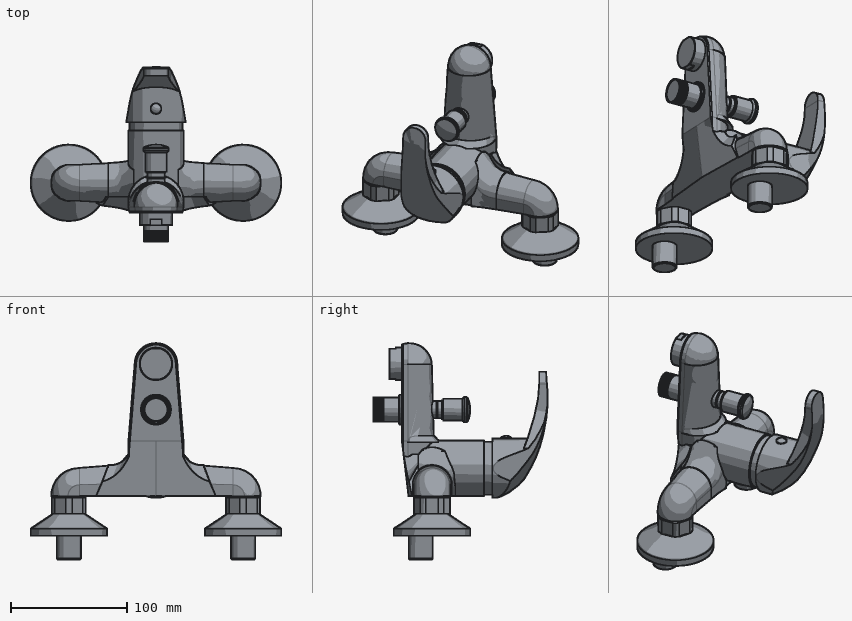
import cadquery as cq
import math


JOINT_OVERLAP = 1.0

INLET_SPACING = 150.0
COLLAR_RADIUS = 9.8
COLLAR_HEIGHT = 1.4
NUT_ACROSS_FLATS = 29.5
NUT_CORNER_DIAMETER = 31.4
NUT_BOTTOM = -15.4
ROSETTE_RADIUS = 33.0
ROSETTE_NECK_RADIUS = 14.0
ROSETTE_RIM_TOP = -28.3
ROSETTE_BOTTOM = -34.2
ROSETTE_RIM_CHAMFER = 0.8
SHANK_RADIUS = 10.5
SHANK_OFFSET_Y = -9.7
SHANK_BOTTOM = -54.7
SHANK_CHAMFER = 1.0

ARCH_RISE_TO_HALF_WIDTH = 0.92
ELBOW_X = 66.0
ARM_END_HALF_WIDTH = 15.6
ARM_END_HEIGHT = 24.3
ARM_ROOT_HALF_WIDTH = 19.3
ARM_ROOT_HEIGHT = 29.6

BARREL_RADIUS = 24.0
BARREL_START_Y = -12.0
BARREL_END_Y = 45.2
BARREL_CHAMFER = 0.6
BARREL_COLLAR_RADIUS = 22.9
BARREL_AXIS_Z = BARREL_RADIUS

FACE_Y = -26.0
SHOULDER_Y = -20.7
COLUMN_BASE_Z = 47.4
COLUMN_BASE_RADIUS = 23.8
COLUMN_TOP_RADIUS = 18.5
COLUMN_TOP_Z = 113.3
COLUMN_BACK_Y = 0.0
COLUMN_BASE_BACK_Y = 1.8
EDGE_DRAFT = 1.5
HEEL_TOP_Z = 52.0
HEEL_BOTTOM_Z = 46.5
HEEL_TOP_HALF_WIDTH = 23.3
HEEL_BACK_Y = 7.0
FACE_EDGE_BEVEL = 1.3

SLOPE_FOOT_Y = -20.3
SLOPE_FOOT_REACH = 60.0
SLOPE_FOOT_OUTER_Y = -16.8

FLARE_TOP_Z = 36.0
FLARE_HALF_WIDTH = 51.5
FLARE_TOE = 1.5
FLARE_BACK_Y = -12.0
FLARE_FRONT_MID = (31.0, 19.5)
FLARE_BACK_MID = (29.5, 29.5)
FLARE_BACK_END = (41.0, 26.5)
FLARE_STATIONS = [
    (41.0, 26.8, 17.1),
    (29.5, 29.6, 18.0),
    (COLUMN_BASE_RADIUS, FLARE_TOP_Z, 19.0),
    (19.0, 42.0, 20.0),
]

OUTLET_AXIS_Z = 74.4
OUTLET_END_Y = -50.63
OUTLET_RADIUS = 10.6
OUTLET_FLANGE_RADIUS = 13.0
OUTLET_FLANGE_FACE_Y = -28.6
OUTLET_FLANGE_CHAMFER = 1.0
THREAD_START_Y = -41.4
THREAD_PITCH = 1.0
THREAD_DEPTH = 0.8
KNOB_NECK_RADIUS = 7.6
KNOB_GROOVE_RADIUS = 7.2
KNOB_GROOVE_Y = 3.6
KNOB_GROOVE_WIDTH = 1.2
KNOB_STEP_RADIUS = 8.2
KNOB_STEP_LENGTH = 1.2
KNOB_GRIP_RADIUS = 9.4
KNOB_GRIP_Y = 9.7
KNOB_FLARE_Y = 26.0
KNOB_CAP_RADIUS = 11.0
KNOB_CAP_Y = 27.8
KNOB_CAP_END_Y = 29.5
KNOB_CROWN_RADIUS = 10.2
KNOB_CROWN_Y = 30.8
KNOB_CROWN_HEIGHT = 2.2
SPOUT_AXIS_Z = 113.8
SPOUT_RADIUS = 14.1
SPOUT_END_Y = -36.6
SPOUT_CHAMFER = 0.4
SPOUT_FLAT_START_Y = -31.3
SPOUT_FLAT_WIDTH = 9.8
SPOUT_FLAT_DISTANCE = 13.1

CAP_RADIUS = 25.6
CAP_FACE_Y = 52.0
LEVER_TIP_RADIUS = 10.5
LEVER_TOP_Z = 107.2
LEVER_TIP_Y = 99.0
LEVER_THICKNESS = 6.8
HANDLE_HALF_SPAN = 30.0
LEVER_INNER_CURVE = [(82.3, BARREL_AXIS_Z + CAP_RADIUS), (87.9, 68.2), (91.2, 83.7)]
LEVER_WRAP_CURVE = [(62.0, 25.0), (73.0, 32.0)]
HANDLE_PLAN_FLANK = [(25.7, CAP_FACE_Y), (24.0, 62.0), (20.2, 79.6), (17.0, 88.0), (13.2, 96.5)]
LEVER_FRONT_FLANK = [(16.6, 49.0), (11.4, 75.0)]
HANDLE_BACK_SLICES = [
    (-2.0, 54.0, 29.0),
    (5.2, 69.4, 27.0),
    (17.0, 81.0, 24.0),
    (29.4, 87.8, 18.0),
    (43.0, 93.2, 11.0),
    (61.0, 97.6, 5.0),
    (79.0, 99.75, 3.0),
    (LEVER_TOP_Z - LEVER_TIP_RADIUS, LEVER_TIP_Y, 2.0),
    (LEVER_TOP_Z + JOINT_OVERLAP, LEVER_TIP_Y, 2.0),
]
BUTTON_Y = 63.8
BUTTON_RADIUS = 4.6
BUTTON_HEIGHT = 2.4
BUTTON_RIM_HEIGHT = 0.4
BUTTON_SINK = 2.0


def turned_along_y(profile, axis_z):
    """Solid of revolution about a Y-parallel axis; profile points are (radius, y)."""
    start, end = profile[0][1], profile[-1][1]
    outline = [(0, start)] + profile + [(0, end)]
    turned = cq.Workplane("XY").polyline(outline).close().revolve(360, (0, 0), (0, 1))
    return turned.translate((0, 0, axis_z))


def cylinder_y(radius, y_start, y_end, axis_z):
    return turned_along_y([(radius, y_start), (radius, y_end)], axis_z)


def spherical_cap(rim_radius, height):
    """Shallow dome rising along +Y from a rim in the plane Y = 0."""
    sphere_radius = (rim_radius**2 + height**2) / (2 * height)
    mid_x = rim_radius / 2
    mid_y = height - sphere_radius + math.sqrt(sphere_radius**2 - mid_x**2)
    return (
        cq.Workplane("XY")
        .lineTo(rim_radius, 0)
        .threePointArc((mid_x, mid_y), (0, height))
        .close()
        .revolve(360, (0, 0), (0, 1))
    )


def wall_inlet(x):
    """Eccentric shank, rosette, union nut and short collar below one arm."""
    rosette_profile = [
        (0, ROSETTE_BOTTOM),
        (ROSETTE_RADIUS, ROSETTE_BOTTOM),
        (ROSETTE_RADIUS, ROSETTE_RIM_TOP),
        (ROSETTE_RADIUS - ROSETTE_RIM_CHAMFER, ROSETTE_RIM_TOP + ROSETTE_RIM_CHAMFER),
        (ROSETTE_NECK_RADIUS, NUT_BOTTOM),
        (0, NUT_BOTTOM),
    ]
    rosette = cq.Workplane("XZ").polyline(rosette_profile).close().revolve(360, (0, 0), (0, 1))

    shank = (
        cq.Workplane("XY", origin=(0, SHANK_OFFSET_Y, SHANK_BOTTOM))
        .circle(SHANK_RADIUS)
        .extrude(ROSETTE_BOTTOM - SHANK_BOTTOM)
        .faces("<Z")
        .chamfer(SHANK_CHAMFER)
    )

    nut_height = -COLLAR_HEIGHT - NUT_BOTTOM
    hexagon_diameter = NUT_ACROSS_FLATS / math.cos(math.pi / 6)
    nut_plane = cq.Workplane("XY", origin=(0, 0, NUT_BOTTOM))
    corner_limit = nut_plane.circle(NUT_CORNER_DIAMETER / 2).extrude(nut_height)
    nut = (
        nut_plane.transformed(rotate=(0, 0, 30))
        .polygon(6, hexagon_diameter)
        .extrude(nut_height)
        .intersect(corner_limit)
    )

    collar_overlap = 5.0
    collar = (
        cq.Workplane("XY", origin=(0, 0, -COLLAR_HEIGHT))
        .circle(COLLAR_RADIUS)
        .extrude(COLLAR_HEIGHT + collar_overlap)
    )
    return rosette.union(shank).union(nut).union(collar).translate((x, 0, 0))


def arch(plane, half_width, height):
    """Straight-sided arch in a YZ plane, standing on Z = 0."""
    spring_z = height - ARCH_RISE_TO_HALF_WIDTH * half_width
    return (
        plane.moveTo(-half_width, 0)
        .lineTo(half_width, 0)
        .lineTo(half_width, spring_z)
        .threePointArc((0, height), (-half_width, spring_z))
        .close()
    )


def arm():
    """Right-hand arm: tapered arch ending in a quarter-turn elbow."""
    root = arch(cq.Workplane("YZ"), ARM_ROOT_HALF_WIDTH, ARM_ROOT_HEIGHT)
    taper = arch(root.workplane(offset=ELBOW_X), ARM_END_HALF_WIDTH, ARM_END_HEIGHT).loft()
    elbow = arch(
        cq.Workplane("YZ", origin=(ELBOW_X, 0, 0)), ARM_END_HALF_WIDTH, ARM_END_HEIGHT
    ).revolve(90, (0, 0), (1, 0))

    flare = cq.Workplane("YZ")
    previous_x = 0.0
    for x, height, half_width in FLARE_STATIONS:
        flare = arch(flare.workplane(offset=x - previous_x), half_width, height)
        previous_x = x
    flare = flare.loft()
    return taper.union(elbow).union(flare)


def column_section(plane, half_width, back_y):
    """D-shaped section: bevelled flat face, drafted edge band, round back."""
    return (
        plane.moveTo(-half_width + EDGE_DRAFT, FACE_Y)
        .lineTo(half_width - EDGE_DRAFT, FACE_Y)
        .lineTo(half_width - EDGE_DRAFT / 2, FACE_Y + FACE_EDGE_BEVEL)
        .lineTo(half_width, SHOULDER_Y)
        .threePointArc((0, back_y), (-half_width, SHOULDER_Y))
        .lineTo(-half_width + EDGE_DRAFT / 2, FACE_Y + FACE_EDGE_BEVEL)
        .close()
    )


def column():
    """Tapered, domed column with a heel on the barrel and a straight foot."""
    base = column_section(
        cq.Workplane("XY", origin=(0, 0, COLUMN_BASE_Z)), COLUMN_BASE_RADIUS, COLUMN_BASE_BACK_Y
    )
    shaft = column_section(
        base.workplane(offset=COLUMN_TOP_Z - COLUMN_BASE_Z), COLUMN_TOP_RADIUS, COLUMN_BACK_Y
    ).loft()
    dome = (
        cq.Workplane("XY")
        .moveTo(0, FACE_Y)
        .lineTo(COLUMN_TOP_RADIUS - EDGE_DRAFT, FACE_Y)
        .lineTo(COLUMN_TOP_RADIUS - EDGE_DRAFT / 2, FACE_Y + FACE_EDGE_BEVEL)
        .lineTo(COLUMN_TOP_RADIUS, SHOULDER_Y)
        .threePointArc(
            (COLUMN_TOP_RADIUS * math.sin(math.pi / 4),
             SHOULDER_Y + (COLUMN_BACK_Y - SHOULDER_Y) * math.cos(math.pi / 4)),
            (0, COLUMN_BACK_Y),
        )
        .close()
        .revolve(360, (0, 0), (0, 1))
        .translate((0, 0, COLUMN_TOP_Z))
    )
    foot = column_section(cq.Workplane("XY"), COLUMN_BASE_RADIUS, COLUMN_BASE_BACK_Y).extrude(
        COLUMN_BASE_Z
    )
    heel_top = column_section(
        cq.Workplane("XY", origin=(0, 0, HEEL_TOP_Z)), HEEL_TOP_HALF_WIDTH, COLUMN_BASE_BACK_Y
    )
    heel = column_section(
        heel_top.workplane(offset=HEEL_BOTTOM_Z - HEEL_TOP_Z), COLUMN_BASE_RADIUS, HEEL_BACK_Y
    ).loft()
    return shaft.union(dome).union(foot).union(heel)


def skirt():
    """Concave flare blending the column into both arms, narrower at the front face."""
    front = (
        cq.Workplane("XZ", origin=(0, FACE_Y, 0))
        .moveTo(0, FLARE_TOP_Z)
        .lineTo(COLUMN_BASE_RADIUS - EDGE_DRAFT, FLARE_TOP_Z)
        .threePointArc(FLARE_FRONT_MID, (FLARE_HALF_WIDTH - FLARE_TOE, FLARE_TOE))
        .lineTo(FLARE_HALF_WIDTH, 0)
        .lineTo(0, 0)
        .close()
    )
    half = (
        front.workplane(offset=FACE_Y - FLARE_BACK_Y)
        .moveTo(0, FLARE_TOP_Z)
        .lineTo(COLUMN_BASE_RADIUS, FLARE_TOP_Z)
        .threePointArc(FLARE_BACK_MID, FLARE_BACK_END)
        .lineTo(FLARE_HALF_WIDTH, 0)
        .lineTo(0, 0)
        .close()
        .loft(ruled=True)
    )
    return half.union(half.mirror("YZ"))


def slope_cutter():
    """Material in front of the V-shaped sloping face."""
    reach = SLOPE_FOOT_REACH
    depth = OUTLET_END_Y
    foot = (
        cq.Workplane("XY")
        .moveTo(-reach, depth)
        .lineTo(reach, depth)
        .lineTo(reach, SLOPE_FOOT_OUTER_Y)
        .lineTo(0, SLOPE_FOOT_Y)
        .lineTo(-reach, SLOPE_FOOT_OUTER_Y)
        .close()
    )
    return (
        foot.workplane(offset=COLUMN_BASE_Z)
        .moveTo(-reach, depth)
        .lineTo(reach, depth)
        .lineTo(reach, FACE_Y)
        .lineTo(0, FACE_Y)
        .lineTo(-reach, FACE_Y)
        .close()
        .loft(ruled=True)
    )


def barrel():
    profile = [
        (BARREL_RADIUS, BARREL_START_Y),
        (BARREL_RADIUS, BARREL_END_Y - BARREL_CHAMFER),
        (BARREL_RADIUS - BARREL_CHAMFER, BARREL_END_Y),
        (BARREL_COLLAR_RADIUS, BARREL_END_Y),
        (BARREL_COLLAR_RADIUS, CAP_FACE_Y + JOINT_OVERLAP),
    ]
    return turned_along_y(profile, BARREL_AXIS_Z)


def body():
    right_arm = arm()
    arms = right_arm.union(right_arm.mirror("YZ"))
    return arms.union(column()).union(skirt()).cut(slope_cutter()).union(barrel())


def shower_outlet():
    """Flanged stub whose threaded end is a row of V-grooves."""
    profile = [
        (OUTLET_FLANGE_RADIUS, SHOULDER_Y),
        (OUTLET_FLANGE_RADIUS, OUTLET_FLANGE_FACE_Y + OUTLET_FLANGE_CHAMFER),
        (OUTLET_FLANGE_RADIUS - OUTLET_FLANGE_CHAMFER, OUTLET_FLANGE_FACE_Y),
        (OUTLET_RADIUS, OUTLET_FLANGE_FACE_Y),
    ]
    groove_count = int((THREAD_START_Y - OUTLET_END_Y) / THREAD_PITCH)
    for index in range(groove_count):
        crest_y = THREAD_START_Y - index * THREAD_PITCH
        profile.append((OUTLET_RADIUS, crest_y))
        profile.append((OUTLET_RADIUS - THREAD_DEPTH, crest_y - THREAD_PITCH / 2))
    profile.append((OUTLET_RADIUS, THREAD_START_Y - groove_count * THREAD_PITCH))
    profile.append((OUTLET_RADIUS - THREAD_DEPTH, OUTLET_END_Y))
    return turned_along_y(profile, OUTLET_AXIS_Z)


def diverter_knob():
    """Pull knob: grooved neck, cylindrical grip and a flanged, crowned cap."""
    profile = [
        (KNOB_NECK_RADIUS, SHOULDER_Y),
        (KNOB_NECK_RADIUS, KNOB_GROOVE_Y),
        (KNOB_GROOVE_RADIUS, KNOB_GROOVE_Y),
        (KNOB_GROOVE_RADIUS, KNOB_GROOVE_Y + KNOB_GROOVE_WIDTH),
        (KNOB_NECK_RADIUS, KNOB_GROOVE_Y + KNOB_GROOVE_WIDTH),
        (KNOB_NECK_RADIUS, KNOB_GRIP_Y - KNOB_STEP_LENGTH),
        (KNOB_STEP_RADIUS, KNOB_GRIP_Y - KNOB_STEP_LENGTH),
        (KNOB_STEP_RADIUS, KNOB_GRIP_Y),
        (KNOB_GRIP_RADIUS, KNOB_GRIP_Y),
        (KNOB_GRIP_RADIUS, KNOB_FLARE_Y),
        (KNOB_CAP_RADIUS, KNOB_CAP_Y),
        (KNOB_CAP_RADIUS, KNOB_CAP_END_Y),
        (KNOB_CROWN_RADIUS, KNOB_CROWN_Y),
    ]
    knob = turned_along_y(profile, OUTLET_AXIS_Z)
    crown = spherical_cap(KNOB_CROWN_RADIUS, KNOB_CROWN_HEIGHT)
    return knob.union(crown.translate((0, KNOB_CROWN_Y, OUTLET_AXIS_Z)))


def spout():
    """Aerator housing with a wrench flat above and below."""
    profile = [
        (SPOUT_RADIUS, SHOULDER_Y),
        (SPOUT_RADIUS, SPOUT_END_Y + SPOUT_CHAMFER),
        (SPOUT_RADIUS - SPOUT_CHAMFER, SPOUT_END_Y),
    ]
    housing = turned_along_y(profile, SPOUT_AXIS_Z)
    flat_length = SPOUT_FLAT_START_Y - SPOUT_END_Y
    cutter_height = 2.0
    cutter_offset = SPOUT_FLAT_DISTANCE + cutter_height / 2
    for side in (1, -1):
        flat_cutter = cq.Workplane("XY").box(SPOUT_FLAT_WIDTH, flat_length, cutter_height).translate(
            (0, SPOUT_END_Y + flat_length / 2, SPOUT_AXIS_Z + side * cutter_offset)
        )
        housing = housing.cut(flat_cutter)
    return housing


def handle_back():
    """Envelope with the rounded outer surface of the handle, skinned over level slices."""
    half_width = HANDLE_HALF_SPAN
    front_y = 20.0
    skin = cq.Workplane("XY")
    previous_z = 0.0
    for z, crest_y, bulge in HANDLE_BACK_SLICES:
        skin = (
            skin.workplane(offset=z - previous_z)
            .moveTo(-half_width, front_y)
            .lineTo(half_width, front_y)
            .lineTo(half_width, crest_y - bulge)
            .threePointArc((0, crest_y), (-half_width, crest_y - bulge))
            .close()
        )
        previous_z = z
    return skin.loft()


def handle():
    """Cap over the cartridge sweeping up into a curved, tapering lever."""
    half_span = HANDLE_HALF_SPAN
    straight_z = LEVER_TOP_Z - LEVER_TIP_RADIUS
    cap_top_z = BARREL_AXIS_Z + CAP_RADIUS
    inner_y = LEVER_TIP_Y - LEVER_THICKNESS
    outer_limit_y = LEVER_TIP_Y + 5 * JOINT_OVERLAP
    lower_limit_z = -5.0
    inner_curve = LEVER_INNER_CURVE + [(inner_y, straight_z)]

    side = (
        cq.Workplane("YZ", origin=(-half_span, 0, 0))
        .moveTo(CAP_FACE_Y, cap_top_z)
        .lineTo(*inner_curve[0])
        .spline(inner_curve[1:], includeCurrent=True)
        .lineTo(inner_y, LEVER_TOP_Z)
        .lineTo(outer_limit_y, LEVER_TOP_Z)
        .lineTo(outer_limit_y, lower_limit_z)
        .lineTo(CAP_FACE_Y, lower_limit_z)
        .close()
        .extrude(2 * half_span)
    )
    blade_side = (
        cq.Workplane("YZ", origin=(-half_span, 0, 0))
        .moveTo(CAP_FACE_Y, BARREL_AXIS_Z)
        .spline(LEVER_WRAP_CURVE + inner_curve, includeCurrent=True)
        .lineTo(inner_y, LEVER_TOP_Z)
        .lineTo(outer_limit_y, LEVER_TOP_Z)
        .lineTo(outer_limit_y, lower_limit_z)
        .lineTo(CAP_FACE_Y, lower_limit_z)
        .close()
        .extrude(2 * half_span)
    )
    plan_half = (
        cq.Workplane("XY", origin=(0, 0, -half_span))
        .moveTo(0, CAP_FACE_Y)
        .lineTo(*HANDLE_PLAN_FLANK[0])
        .spline(HANDLE_PLAN_FLANK[1:], includeCurrent=True)
        .lineTo(LEVER_TIP_RADIUS, LEVER_TIP_Y + JOINT_OVERLAP)
        .lineTo(0, LEVER_TIP_Y + JOINT_OVERLAP)
        .close()
        .extrude(LEVER_TOP_Z + 2 * half_span)
    )
    plan = plan_half.union(plan_half.mirror("YZ"))

    blade_front_half = (
        cq.Workplane("XZ", origin=(0, CAP_FACE_Y, 0))
        .moveTo(0, BARREL_AXIS_Z)
        .lineTo(CAP_RADIUS, BARREL_AXIS_Z)
        .spline(LEVER_FRONT_FLANK + [(LEVER_TIP_RADIUS, straight_z)], includeCurrent=True)
        .threePointArc(
            (LEVER_TIP_RADIUS * math.sin(math.pi / 4),
             straight_z + LEVER_TIP_RADIUS * math.cos(math.pi / 4)),
            (0, LEVER_TOP_Z),
        )
        .close()
        .extrude(-2 * half_span)
    )
    cap_round = cylinder_y(CAP_RADIUS, CAP_FACE_Y, outer_limit_y, BARREL_AXIS_Z)
    blade_front = blade_front_half.union(blade_front_half.mirror("YZ")).union(cap_round)

    cap = side.intersect(plan).intersect(cap_round)
    blade = blade_side.intersect(plan).intersect(blade_front)

    button = (
        cq.Workplane("XY", origin=(0, BUTTON_Y, cap_top_z - BUTTON_SINK))
        .circle(BUTTON_RADIUS)
        .extrude(BUTTON_SINK + BUTTON_RIM_HEIGHT)
    )
    button_dome = (
        spherical_cap(BUTTON_RADIUS, BUTTON_HEIGHT - BUTTON_RIM_HEIGHT)
        .rotate((0, 0, 0), (1, 0, 0), 90)
        .translate((0, BUTTON_Y, cap_top_z + BUTTON_RIM_HEIGHT))
    )
    button = button.union(button_dome)
    return cap.union(blade).intersect(handle_back()).union(button)


result = body()
for inlet_x in (-INLET_SPACING / 2, INLET_SPACING / 2):
    result = result.union(wall_inlet(inlet_x))
result = result.union(shower_outlet()).union(diverter_knob()).union(spout()).union(handle())